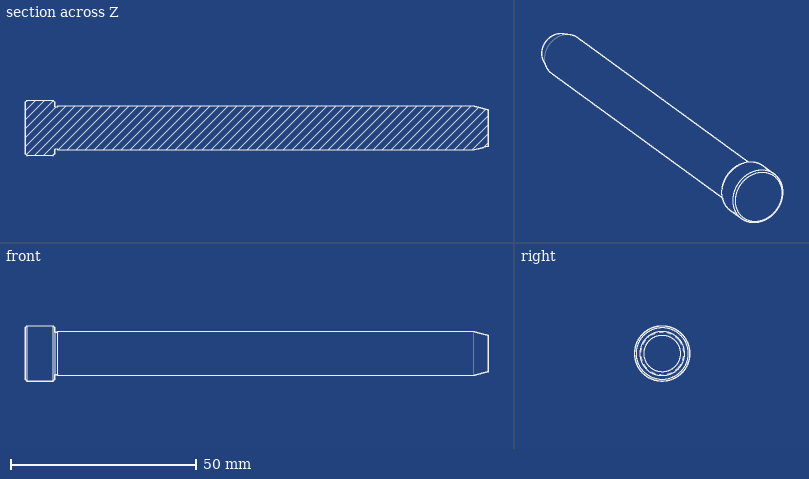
import cadquery as cq

total_length = 125.0
head_diameter = 15.0
head_length = 8.0
head_chamfer = 0.5
shank_diameter = 12.0

relief_width = 0.8
relief_depth = 0.2

taper_length = 4.0
tip_diameter = 9.9

head_face_x = -total_length / 2
head_end_x = head_face_x + head_length
tip_x = total_length / 2


def cylinder_along_x(start_x, diameter, length):
    """Solid cylinder on the X axis, starting at start_x."""
    return cq.Workplane("YZ", origin=(start_x, 0, 0)).circle(diameter / 2).extrude(length)


def make_head():
    """Head with both rims chamfered."""
    head = cylinder_along_x(head_face_x, head_diameter, head_length)
    return head.faces("<X or >X").chamfer(head_chamfer)


def make_shank():
    """Relief neck, straight shank and tapered tip as one turned profile."""
    neck_radius = shank_diameter / 2 - relief_depth
    shank_start_x = head_end_x + relief_width
    taper_start_x = tip_x - taper_length
    profile = [
        (head_end_x, 0),
        (head_end_x, neck_radius),
        (shank_start_x, neck_radius),
        (shank_start_x, shank_diameter / 2),
        (taper_start_x, shank_diameter / 2),
        (tip_x, tip_diameter / 2),
        (tip_x, 0),
    ]
    return cq.Workplane("XY").polyline(profile).close().revolve(360, (0, 0, 0), (1, 0, 0))


result = make_head().union(make_shank())